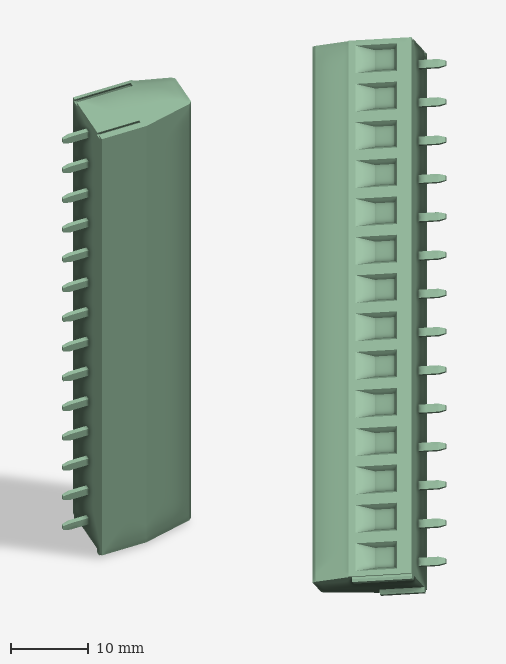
import cadquery as cq

terminal_count = 14
body_height = 71.1
pitch = body_height / terminal_count
total_height = 71.7
rib_height = total_height - body_height
body_width = 9.0
body_depth = 13.5
left_shoulder_y = 8.3
left_ledge = 0.2
right_shoulder_y = 6.3
side_inset = 1.65
nose_chamfer_width = 0.35
nose_chamfer_depth = 0.4

entry_depth = 0.9
entry_front_y = 1.95
entry_length = 5.45
entry_height = 3.65
entry_draft = 0.5
entry_rear_draft = 2.4

pin_length = 3.5
pin_thickness = 0.65
pin_height = 1.1
tip_length = 0.9
tip_thickness = 0.4
tip_height = 0.65

rail_pairs = (
    (0.8, 1.1, 7.9),
    (7.8, 0.85, 5.9),
)
rib_taper = 0.11
rib_straight = 0.3
groove_depth = 0.5
groove_undercut = 0.2


def terminal_z(index):
    """Height of the centre of one terminal."""
    return rib_height + (index + 0.5) * pitch


def make_body():
    slope_end_y = body_depth - nose_chamfer_depth
    nose_inset = side_inset + nose_chamfer_width
    outline = [
        (0, 0),
        (body_width, 0),
        (body_width, right_shoulder_y),
        (body_width - side_inset, slope_end_y),
        (body_width - nose_inset, body_depth),
        (nose_inset, body_depth),
        (side_inset, slope_end_y),
        (left_ledge, left_shoulder_y),
        (0, left_shoulder_y),
    ]
    base = cq.Workplane("XY", origin=(0, 0, rib_height))
    return base.polyline(outline).close().extrude(body_height)


def make_rib(center_x, width, length):
    """Rib under the housing, narrowing towards its crest."""
    root = width / 2
    crest = root - rib_taper
    section = [
        (-root, 0),
        (root, 0),
        (root, -rib_straight),
        (crest, -rib_height),
        (-crest, -rib_height),
        (-root, -rib_straight),
    ]
    plane = cq.Workplane("XZ", origin=(center_x, 0, rib_height))
    return plane.polyline(section).close().extrude(-length)


def make_groove(center_x, width, length):
    """Dovetail groove in the top face, open at the front."""
    floor = width / 2
    opening = floor - groove_undercut
    section = [
        (-opening, 0),
        (opening, 0),
        (floor, -groove_depth),
        (-floor, -groove_depth),
    ]
    plane = cq.Workplane("XZ", origin=(center_x, 0, total_height))
    return plane.polyline(section).close().extrude(-length)


def make_entry(z):
    """Funnel from the left side, narrowing to a smaller floor."""
    floor_length = entry_length - entry_draft - entry_rear_draft
    floor_shift = (entry_draft - entry_rear_draft) / 2
    return (
        cq.Workplane("YZ", origin=(0, entry_front_y + entry_length / 2, z))
        .rect(entry_length, entry_height)
        .workplane(offset=entry_depth)
        .center(floor_shift, 0)
        .rect(floor_length, entry_height - 2 * entry_draft)
        .loft(ruled=True)
    )


def make_pin(z):
    """Rectangular pin pointing forward, with a tapered tip."""
    shank_length = pin_length - tip_length
    shank = (
        cq.Workplane("XZ", origin=(body_width / 2, 0, z))
        .rect(pin_thickness, pin_height)
        .extrude(shank_length)
    )
    tip = (
        cq.Workplane("XZ", origin=(body_width / 2, -shank_length, z))
        .rect(pin_thickness, pin_height)
        .workplane(offset=tip_length)
        .rect(tip_thickness, tip_height)
        .loft(ruled=True)
    )
    return shank.union(tip)


result = make_body()

for center_x, width, length in rail_pairs:
    result = result.cut(make_groove(center_x, width, length))
    result = result.union(make_rib(center_x, width, length))

for terminal in range(terminal_count):
    center_z = terminal_z(terminal)
    result = result.cut(make_entry(center_z))
    result = result.union(make_pin(center_z))